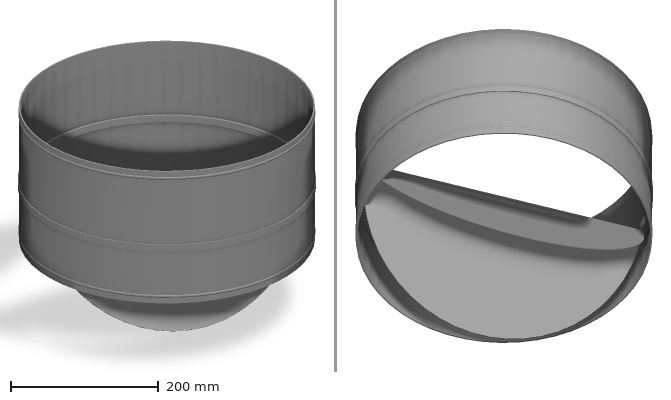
import cadquery as cq

tube_radius = 200.5
wall = 2.0
tube_height = 199.0
tube_bore_radius = tube_radius - wall

band_radius = 202.0
band_bore_radius = 195.0
band_height = 10.0
band_bottom = 79.0

bead_width = 4.0
bead_projection = 0.8
bead_end_distance = 10.5

blade_clearance = 0.5
blade_radius = tube_bore_radius - blade_clearance
blade_thickness = 2.0
blade_angle = 30.0
hinge_height = band_bottom


def ring(outer_radius, inner_radius, bottom, height):
    base = cq.Workplane("XY").workplane(offset=bottom)
    return base.circle(outer_radius).circle(inner_radius).extrude(height)


def bead(centre_height):
    bottom = centre_height - bead_width / 2
    top = centre_height + bead_width / 2
    profile = (
        cq.Workplane("XZ")
        .moveTo(tube_bore_radius, bottom)
        .lineTo(tube_radius, bottom)
        .threePointArc((tube_radius + bead_projection, centre_height), (tube_radius, top))
        .lineTo(tube_bore_radius, top)
        .close()
    )
    return profile.revolve(360, (0, 0, 0), (0, 1, 0))


def make_housing():
    housing = ring(tube_radius, tube_bore_radius, 0, tube_height)
    housing = housing.union(ring(band_radius, band_bore_radius, band_bottom, band_height))
    for centre_height in (bead_end_distance, tube_height - bead_end_distance):
        housing = housing.union(bead(centre_height))
    return housing


def blade(side):
    disc = cq.Workplane("XY").circle(blade_radius).extrude(-blade_thickness)
    tilted = disc.rotate((0, 0, 0), (0, 1, 0), side * (90 - blade_angle))
    half_box = cq.Workplane("XY").box(2 * blade_radius, 2 * blade_radius, 4 * blade_radius)
    half_box = half_box.translate((side * blade_radius, 0, 0))
    return tilted.intersect(half_box).translate((0, 0, hinge_height))


def make_damper():
    return blade(-1).union(blade(1))


housing = make_housing()
damper = make_damper()
result = cq.Compound.makeCompound([housing.val(), damper.val()])